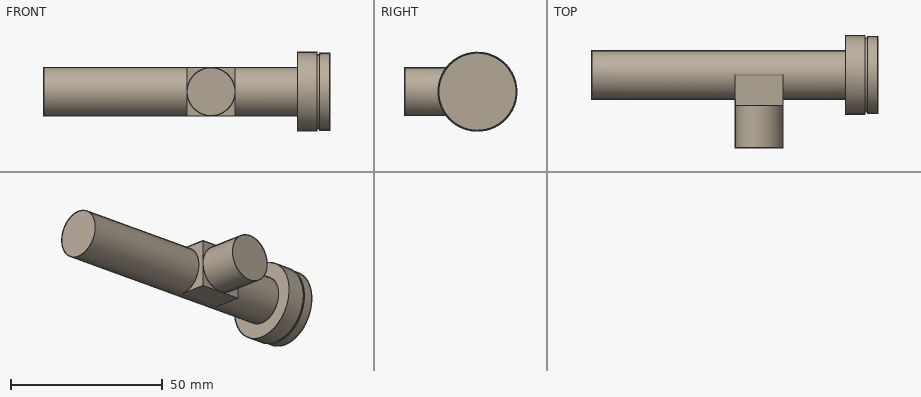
import cadquery as cq

rod_diameter = 16.0
rod_left_length = 55.1
rod_right_length = 28.4

collar_diameter = 26.0
collar_width = 6.5
neck_diameter = 24.4
neck_width = 0.8
cap_diameter = 25.4
cap_width = 3.4

stub_diameter = 15.8
block_length = stub_diameter
block_height = rod_diameter
block_reach = 10.0
branch_reach = 24.0


def disc_along_x(start_x, width, diameter):
    """Cylinder on the X axis, from start_x towards +X."""
    return cq.Workplane("YZ", origin=(start_x, 0, 0)).circle(diameter / 2).extrude(width)


def make_rod():
    return disc_along_x(-rod_left_length, rod_left_length + rod_right_length, rod_diameter)


def make_head():
    """Collar and end cap separated by a shallow groove."""
    neck_start = rod_right_length + collar_width
    cap_start = neck_start + neck_width
    collar = disc_along_x(rod_right_length, collar_width, collar_diameter)
    neck = disc_along_x(neck_start, neck_width, neck_diameter)
    cap = disc_along_x(cap_start, cap_width, cap_diameter)
    return collar.union(neck).union(cap)


def make_branch():
    """Block flush with the top and bottom of the rod, carrying the round stub."""
    block = cq.Workplane("XZ").rect(block_length, block_height).extrude(block_reach)
    stub_base = cq.Workplane("XZ", origin=(0, -block_reach, 0))
    stub = stub_base.circle(stub_diameter / 2).extrude(branch_reach - block_reach)
    return block.union(stub)


result = make_rod().union(make_head()).union(make_branch())